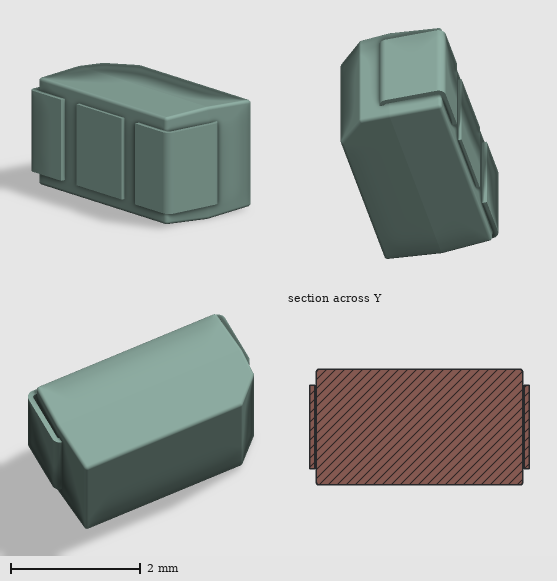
import cadquery as cq
import math

BODY_LENGTH = 3.2
BODY_WIDTH = 1.8
BODY_FRONT_DEPTH = 0.82
BODY_BACK_DEPTH = 0.9
DRAFT_ANGLE = 3.0
EDGE_RADIUS = 0.05
CORNER_CUT = 0.4
CUTTER_OVERRUN = 0.2

TERMINAL_SPAN = 3.4
TERMINAL_WIDTH = 1.3
TERMINAL_THICKNESS = 0.08
TERMINAL_BEND_RADIUS = 0.12
TERMINAL_FRONT_Y = -BODY_FRONT_DEPTH - TERMINAL_THICKNESS
TERMINAL_BACK_Y = 0.16
TERMINAL_FOOT_END_X = 0.9
TERMINAL_EMBED_DEPTH = 0.1
TERMINAL_INNER_RADIUS = TERMINAL_BEND_RADIUS - TERMINAL_THICKNESS

PAD_LENGTH = 1.1
PAD_WIDTH = TERMINAL_WIDTH
PAD_THICKNESS = 0.06


def drafted_half(depth, direction):
    """Half of the body, narrowing from the parting plane along direction (+1 or -1) in Y."""
    plane = cq.Plane(origin=(0, 0, 0), xDir=(1, 0, 0), normal=(0, direction, 0))
    return cq.Workplane(plane).rect(BODY_LENGTH, BODY_WIDTH).extrude(depth, taper=DRAFT_ANGLE)


def corner_cutter():
    """Triangular prism that removes the 45 degree corner at -X, +Y."""
    back_end_x = -BODY_LENGTH / 2 + BODY_BACK_DEPTH * math.tan(math.radians(DRAFT_ANGLE))
    corner = (back_end_x - CUTTER_OVERRUN, BODY_BACK_DEPTH + CUTTER_OVERRUN)
    leg = CORNER_CUT + 2 * CUTTER_OVERRUN
    return (
        cq.Workplane("XY")
        .polyline([corner, (corner[0] + leg, corner[1]), (corner[0], corner[1] - leg)])
        .close()
        .extrude(BODY_WIDTH, both=True)
    )


def make_body():
    """Drafted body with one cut corner; every edge is rounded except the parting line."""
    front_half = drafted_half(BODY_FRONT_DEPTH, -1)
    back_half = drafted_half(BODY_BACK_DEPTH, 1)
    body = front_half.union(back_half).cut(corner_cutter())
    parting_edges = cq.selectors.BoxSelector(
        (-BODY_LENGTH, -EDGE_RADIUS, -BODY_WIDTH),
        (BODY_LENGTH, EDGE_RADIUS, BODY_WIDTH),
    )
    all_edges = cq.selectors.Selector()
    rounded_edges = body.edges(cq.selectors.SubtractSelector(all_edges, parting_edges))
    return rounded_edges.fillet(EDGE_RADIUS)


def make_terminal():
    """C-shaped strip at the +X end: foot along the front face, upright leg, arm running into the body."""
    outer_x = TERMINAL_SPAN / 2
    inner_x = outer_x - TERMINAL_THICKNESS
    arm_end_x = BODY_LENGTH / 2 - TERMINAL_EMBED_DEPTH
    foot_inner_y = TERMINAL_FRONT_Y + TERMINAL_THICKNESS
    arm_inner_y = TERMINAL_BACK_Y - TERMINAL_THICKNESS
    strip = (
        cq.Workplane("XY")
        .polyline([
            (TERMINAL_FOOT_END_X, TERMINAL_FRONT_Y),
            (outer_x, TERMINAL_FRONT_Y),
            (outer_x, TERMINAL_BACK_Y),
            (arm_end_x, TERMINAL_BACK_Y),
            (arm_end_x, arm_inner_y),
            (inner_x, arm_inner_y),
            (inner_x, foot_inner_y),
            (TERMINAL_FOOT_END_X, foot_inner_y),
        ])
        .close()
        .extrude(TERMINAL_WIDTH / 2, both=True)
    )
    outer_bends = strip.faces(">X").edges("|Z")
    strip = outer_bends.fillet(TERMINAL_BEND_RADIUS)
    inner_bends = strip.edges(cq.selectors.BoxSelector(
        (inner_x - TERMINAL_INNER_RADIUS, foot_inner_y - TERMINAL_INNER_RADIUS, -TERMINAL_WIDTH),
        (inner_x + TERMINAL_INNER_RADIUS, arm_inner_y + TERMINAL_INNER_RADIUS, TERMINAL_WIDTH),
    )).edges("|Z")
    return inner_bends.fillet(TERMINAL_INNER_RADIUS)


def make_pad():
    """Flat rectangular pad standing on the front face."""
    return (
        cq.Workplane("XY")
        .box(PAD_LENGTH, PAD_THICKNESS, PAD_WIDTH)
        .translate((0, -BODY_FRONT_DEPTH - PAD_THICKNESS / 2, 0))
    )


right_terminal = make_terminal()
left_terminal = right_terminal.mirror("YZ")
result = make_body().union(right_terminal).union(left_terminal).union(make_pad())